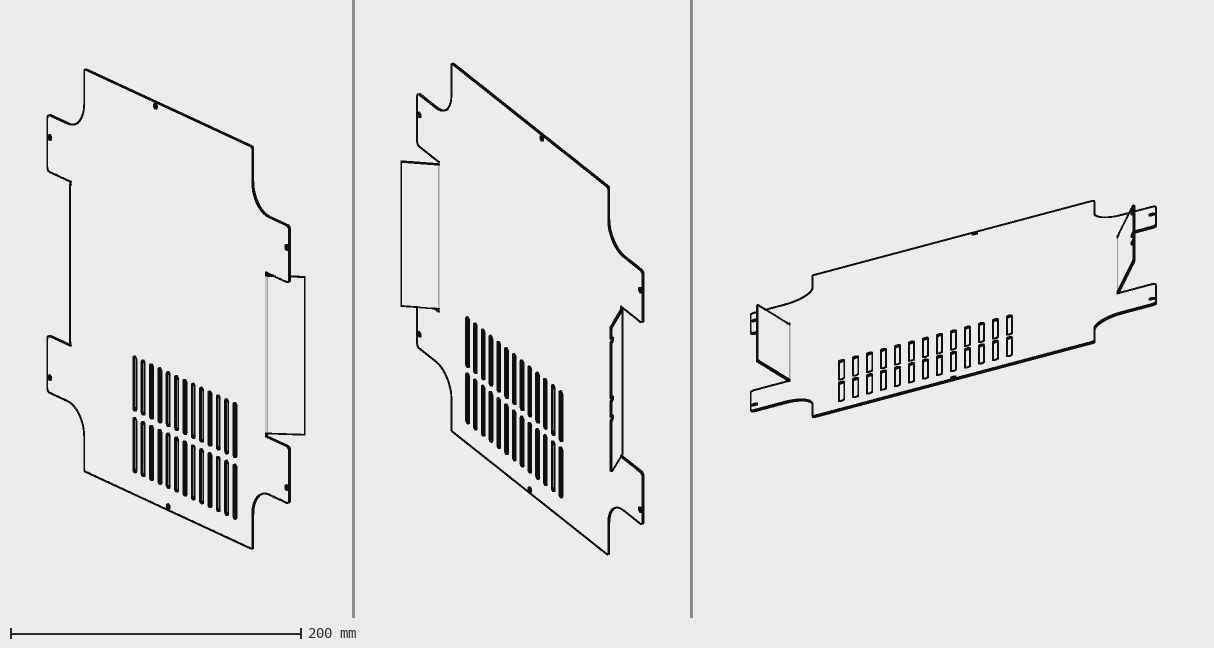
import cadquery as cq
import math

thickness = 1.2
height = 293.0
width = 290.0
centre_panel_width = 201.5
side_tab_top = 101.0
side_tab_bottom = 59.8
notch_radius = 20.0
panel_corner_radius = 1.5
tab_corner_radius = 3.0
bend_line_x = 117.2

flange_depth = 20.8
flange_length = 115.0
bend_angle_degrees = 49
bend_angle = math.radians(bend_angle_degrees)
bend_inner_radius = 0.3
bend_outer_radius = bend_inner_radius + thickness
left_flange_corner_radius = 1.8

tip_notches = [(47.0, 3.5), (0.0, 3.0), (-15.2, 3.5)]
tip_notch_depth = 3.5

hole_diameter = 3.5
tab_hole_x = 142.0
tab_hole_heights = [85.0, -90.0]
top_hole = (-15.2, 143.5)
bottom_hole = (0.0, -144.0)

slot_columns = 13
slot_row_span = 120.0
slot_pitch = slot_row_span / (slot_columns - 1)
slot_width = 3.8
slot_length = 39.5
columns_left_of_centre = 4
first_slot_x = -columns_left_of_centre * slot_pitch
slot_row_heights = [-65.5, -110.5]


def front_plane():
    """Workplane on the sheet's front face, extruding toward +Y, local axes (X, -Z)."""
    return cq.Workplane(cq.Plane(origin=(0, 0, 0), xDir=(1, 0, 0), normal=(0, 1, 0)))


def sheet_block(x_size, z_low, z_high):
    """Sheet-thick rectangle centred on X = 0."""
    block = cq.Workplane("XY").box(x_size, thickness, z_high - z_low, centered=(True, False, False))
    return block.translate((0, 0, z_low))


def flat_sheet():
    """Cross-shaped sheet with concave inner corners and cut-outs for the flanges."""
    panel = sheet_block(centre_panel_width, -height / 2, height / 2).edges("|Y").fillet(panel_corner_radius)
    sheet = panel.union(sheet_block(2 * bend_line_x, -side_tab_top, side_tab_top))
    for low, high in ((side_tab_bottom, side_tab_top), (-side_tab_top, -side_tab_bottom)):
        tabs = sheet_block(width, low, high).edges("|Y").fillet(tab_corner_radius)
        sheet = sheet.union(tabs)
    margin = notch_radius / 2
    reach_x = centre_panel_width / 2 + margin
    reach_z = side_tab_top + margin
    corner_region = cq.selectors.BoxSelector((-reach_x, -margin, -reach_z), (reach_x, margin, reach_z))
    return sheet.edges("|Y").edges(corner_region).fillet(notch_radius)


def bend_point(radius, angle):
    """Point (X, Y) on the right-hand bend at the given angle from the flat sheet."""
    return (
        bend_line_x + radius * math.sin(angle),
        bend_outer_radius - radius * math.cos(angle),
    )


along = (math.cos(bend_angle), math.sin(bend_angle))
inner_bend_end = bend_point(bend_inner_radius, bend_angle)
outer_bend_end = bend_point(bend_outer_radius, bend_angle)
straight_length = (flange_depth - inner_bend_end[1]) / along[1]


def along_flange(start, distance):
    """Point (X, Y) reached by moving from start toward the flange tip."""
    return (start[0] + distance * along[0], start[1] + distance * along[1])


outer_tip = along_flange(outer_bend_end, straight_length)
inner_tip = along_flange(inner_bend_end, straight_length)


def right_flange():
    """Rolled bend followed by a straight leaf with square tip corners."""
    return (
        cq.Workplane("XY")
        .moveTo(bend_line_x, 0)
        .threePointArc(bend_point(bend_outer_radius, bend_angle / 2), outer_bend_end)
        .lineTo(*outer_tip)
        .lineTo(*inner_tip)
        .lineTo(*inner_bend_end)
        .threePointArc(bend_point(bend_inner_radius, bend_angle / 2), (bend_line_x, thickness))
        .close()
        .extrude(flange_length / 2, both=True)
    )


def notch_cutter(z, notch_width):
    """Round-ended cutter through the right-hand leaf, open at its tip."""
    leaf_plane = cq.Plane(
        origin=(outer_tip[0], outer_tip[1], z),
        xDir=(along[0], along[1], 0),
        normal=(-along[1], along[0], 0),
    )
    return cq.Workplane(leaf_plane).slot2D(2 * tip_notch_depth, notch_width).extrude(2 * thickness, both=True)


def left_flange():
    """Mirror image of the right flange, with rounded tip corners and notches in its tip."""
    tip_centre = ((outer_tip[0] + inner_tip[0]) / 2, (outer_tip[1] + inner_tip[1]) / 2, 0)
    tip_face = cq.selectors.NearestToPointSelector(tip_centre)
    flange = right_flange().faces(tip_face).edges(">Z or <Z").fillet(left_flange_corner_radius)
    for z, notch_width in tip_notches:
        flange = flange.cut(notch_cutter(z, notch_width))
    return flange.mirror("YZ")


def sheet_holes():
    """Cutters for the round mounting holes."""
    points = [top_hole, bottom_hole]
    for z in tab_hole_heights:
        points += [(-tab_hole_x, z), (tab_hole_x, z)]
    return front_plane().pushPoints([(x, -z) for x, z in points]).circle(hole_diameter / 2).extrude(thickness)


def ventilation_slots():
    """Cutters for the grid of round-ended slots."""
    points = [
        (first_slot_x + column * slot_pitch, -z)
        for z in slot_row_heights
        for column in range(slot_columns)
    ]
    return front_plane().pushPoints(points).slot2D(slot_length, slot_width, 90).extrude(thickness)


result = (
    flat_sheet()
    .cut(sheet_holes())
    .cut(ventilation_slots())
    .union(right_flange())
    .union(left_flange())
)